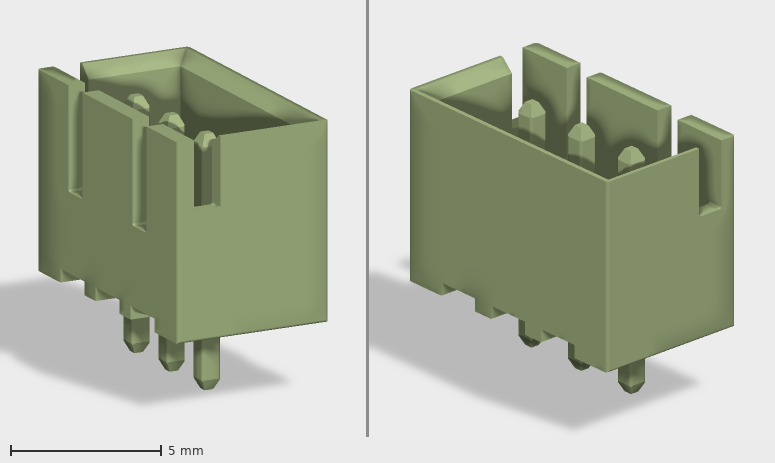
import cadquery as cq

length = 10.0
depth = 5.7
height = 7.0
side_wall = 0.6
front_wall = 0.62
back_wall = 0.62
floor_top = 2.0
rim_chamfer = 0.45
corner_radius = 0.12
bottom_radius = 0.1

slot_width = 1.0
slot_radius = 0.09
front_slot_depth = 3.7
front_slot_offset = 2.28
side_slot_depth = 2.5

pin_count = 3
pitch = 2.5
pin_width = 0.7
pin_edge_radius = 0.1
pin_y = 2.42
pin_bottom = -2.5
pin_top = 6.4
tip_height = 0.4
tip_width = 0.32
notch_width = 1.7
notch_height = 0.48

pin_xs = [(i - (pin_count - 1) / 2) * pitch for i in range(pin_count)]


def block(x_size, y_size, z_size, x_mid, y_min, z_min):
    """Box centred on x_mid in X and starting at y_min and z_min."""
    return (
        cq.Workplane("XY")
        .box(x_size, y_size, z_size, centered=(True, False, False))
        .translate((x_mid, y_min, z_min))
    )


def make_shell():
    """Rounded outer box with the mating cavity removed."""
    blank = block(length, depth, height, 0, 0, 0)
    outer = blank.edges("|Z").fillet(corner_radius)
    outer = outer.intersect(blank.faces("<Z").edges("|Y").fillet(bottom_radius))

    cavity_length = length - 2 * side_wall
    cavity_depth = depth - front_wall - back_wall
    cavity = block(cavity_length, cavity_depth, height - floor_top, 0, front_wall, floor_top)
    return outer.cut(cavity).cut(make_rim_flare(cavity_length, cavity_depth))


def make_rim_flare(cavity_length, cavity_depth):
    """45 degree lead-in widening the cavity at the back and both ends, not at the front."""
    flare_base = height - rim_chamfer
    flare = (
        cq.Workplane("XY", origin=(0, front_wall + cavity_depth / 2, flare_base))
        .rect(cavity_length, cavity_depth)
        .workplane(offset=rim_chamfer)
        .rect(cavity_length + 2 * rim_chamfer, cavity_depth + 2 * rim_chamfer)
        .loft(ruled=True)
    )
    behind_front_wall = block(length, depth, height, 0, front_wall, 0)
    return flare.intersect(behind_front_wall)


def make_front_slot(x_mid):
    """Slot through the front wall with a rounded bottom."""
    slot = block(slot_width, front_wall, front_slot_depth, x_mid, 0, height - front_slot_depth)
    return slot.edges("|Y and <Z").fillet(slot_radius)


def make_side_slots():
    """Slot through both end walls, running along the inside of the front wall."""
    slot = block(length, slot_width, side_slot_depth, 0, front_wall, height - side_slot_depth)
    return slot.edges("|X and <Z").fillet(slot_radius)


def make_tip(z_base, direction):
    """Square taper from full pin width at z_base; direction is +1 up or -1 down."""
    return (
        cq.Workplane("XY", origin=(0, 0, z_base))
        .rect(pin_width, pin_width)
        .workplane(offset=direction * tip_height)
        .rect(tip_width, tip_width)
        .loft(ruled=True)
    )


def make_pin():
    """Square pin with rounded long edges and a tapered tip at each end."""
    upper_shoulder = pin_top - tip_height
    lower_shoulder = pin_bottom + tip_height
    shank = block(
        pin_width, pin_width, upper_shoulder - lower_shoulder, 0, -pin_width / 2, lower_shoulder
    )
    tapered = shank.union(make_tip(upper_shoulder, 1)).union(make_tip(lower_shoulder, -1))
    rounded = block(pin_width, pin_width, pin_top - pin_bottom, 0, -pin_width / 2, pin_bottom)
    rounded = rounded.edges("|Z").fillet(pin_edge_radius)
    return rounded.intersect(tapered)


result = make_shell().cut(make_side_slots())

for slot_x in (-front_slot_offset, front_slot_offset):
    result = result.cut(make_front_slot(slot_x))

for pin_x in pin_xs:
    result = result.cut(block(notch_width, depth, notch_height, pin_x, 0, 0))

for pin_x in pin_xs:
    result = result.union(make_pin().translate((pin_x, pin_y, 0)))